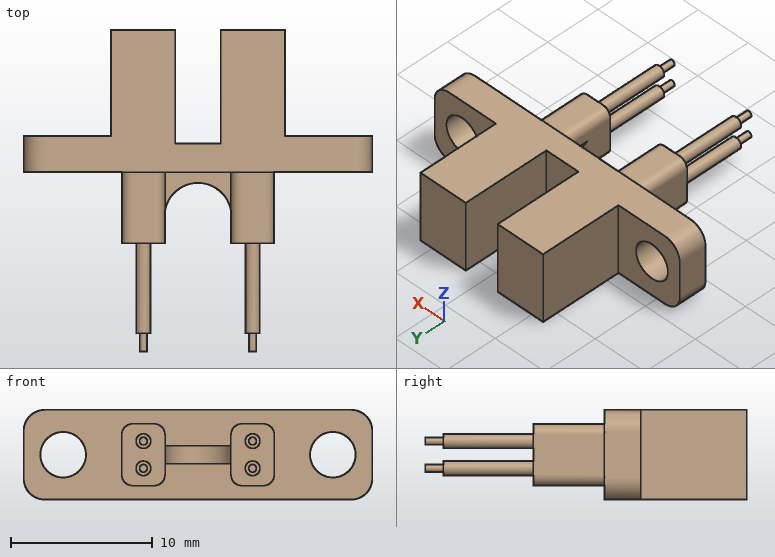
import cadquery as cq

plate_length = 24.65
plate_thickness = 2.56
height = 6.35
plate_corner_radius = 1.5
mount_hole_diameter = 3.2
mount_hole_spacing = 19.05

fork_width = 12.32
fork_reach = 7.5
slot_width = 3.2
slot_depth = 8.0

socket_width = 3.05
socket_height = 4.35
socket_length = 5.03
socket_corner_radius = 0.76
socket_spacing = 7.7

wire_spacing = 1.92
wire_diameter = 1.03
wire_length = 6.35
core_diameter = 0.55
core_length = 1.28

web_thickness = 1.28
web_crown_depth = 0.76
arch_rise = 1.97

socket_face_y = -socket_length
wire_end_y = socket_face_y - wire_length
socket_gap = socket_spacing - socket_width
arch_half_span = socket_gap / 2
wire_centers = [
    (side * socket_spacing / 2, level * wire_spacing / 2)
    for side in (-1, 1)
    for level in (-1, 1)
]


def front_plane(y):
    """Workplane at the given Y, facing -Y, with local axes along X and Z."""
    return cq.Workplane("XZ", origin=(0, y, 0))


def make_plate():
    plate = front_plane(plate_thickness).rect(plate_length, height).extrude(plate_thickness)
    plate = plate.edges("|Y").fillet(plate_corner_radius)
    holes = (
        front_plane(plate_thickness)
        .rarray(mount_hole_spacing, 0.25, 2, 1)
        .circle(mount_hole_diameter / 2)
        .extrude(plate_thickness)
    )
    return plate.cut(holes)


def make_fork():
    return front_plane(plate_thickness + fork_reach).rect(fork_width, height).extrude(fork_reach)


def make_slot():
    return front_plane(plate_thickness + fork_reach).rect(slot_width, height).extrude(slot_depth)


def make_sockets():
    return (
        front_plane(0)
        .rarray(socket_spacing, 0.25, 2, 1)
        .rect(socket_width, socket_height)
        .extrude(socket_length)
        .edges("|Y")
        .fillet(socket_corner_radius)
    )


def make_web():
    spring_y = -(web_crown_depth + arch_rise)
    return (
        cq.Workplane("XY")
        .moveTo(-socket_spacing / 2, 0)
        .lineTo(socket_spacing / 2, 0)
        .lineTo(socket_spacing / 2, spring_y)
        .lineTo(arch_half_span, spring_y)
        .threePointArc((0, -web_crown_depth), (-arch_half_span, spring_y))
        .lineTo(-socket_spacing / 2, spring_y)
        .close()
        .extrude(web_thickness / 2, both=True)
    )


def make_wires():
    wires = (
        front_plane(socket_face_y)
        .pushPoints(wire_centers)
        .circle(wire_diameter / 2)
        .extrude(wire_length)
    )
    cores = (
        front_plane(wire_end_y)
        .pushPoints(wire_centers)
        .circle(core_diameter / 2)
        .extrude(core_length)
    )
    return wires.union(cores)


body = make_plate().union(make_fork()).cut(make_slot())
result = body.union(make_sockets()).union(make_web()).union(make_wires())